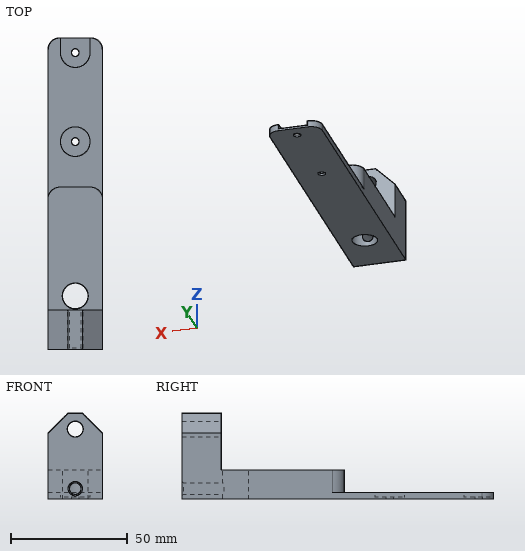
import cadquery as cq

LENGTH = 133.4
WIDTH = 23.3
HEIGHT = 36.8

PLATE_THICKNESS = 3.0
BLOCK_HEIGHT = 12.5
BLOCK_LENGTH = 69.5
HEAD_LENGTH = 17.0
CORNER_RADIUS = 5.1
HEAD_CHAMFER = 8.5

SEAT_DIAMETER = 12.7
SEAT_DEPTH = 2.0
SCREW_HOLE_DIAMETER = 3.2
END_SEAT_Y = LENGTH - SEAT_DIAMETER / 2
INNER_SEAT_Y = 89.0

BORE_DIAMETER = 11.0
BORE_Y = 23.0

UPPER_HOLE_DIAMETER = 6.7
UPPER_HOLE_Z = 30.0
LOWER_HOLE_DIAMETER = 5.0
LOWER_HOLE_MOUTH_DIAMETER = 6.1
LOWER_HOLE_Z = 4.5


def step(length, height):
    """Full-width box that starts at the front face."""
    return cq.Workplane("XY").box(WIDTH, length, height, centered=(True, False, False))


def cylinder_up(diameter, y, bottom, height):
    """Vertical cylinder on the centre plane."""
    return cq.Workplane("XY", origin=(0, y, bottom)).circle(diameter / 2).extrude(height)


def cylinder_back(diameter, z, length):
    """Cylinder from the front face toward +Y on the centre plane."""
    return cq.Workplane("XZ", origin=(0, 0, z)).circle(diameter / 2).extrude(-length)


def make_body():
    plate = step(LENGTH, PLATE_THICKNESS).edges("|Z and >Y").fillet(CORNER_RADIUS)
    block = step(BLOCK_LENGTH, BLOCK_HEIGHT).edges("|Z and >Y").fillet(CORNER_RADIUS)
    head = step(HEAD_LENGTH, HEIGHT).edges("|Y and >Z").chamfer(HEAD_CHAMFER)
    return plate.union(block).union(head)


def cut_screw_seats(body):
    seat_floor = PLATE_THICKNESS - SEAT_DEPTH
    for y in (END_SEAT_Y, INNER_SEAT_Y):
        body = body.cut(cylinder_up(SEAT_DIAMETER, y, seat_floor, SEAT_DEPTH))
        body = body.cut(cylinder_up(SCREW_HOLE_DIAMETER, y, 0, PLATE_THICKNESS))
    opening = cq.Workplane("XY", origin=(0, END_SEAT_Y, seat_floor)).box(
        SEAT_DIAMETER, LENGTH - END_SEAT_Y, SEAT_DEPTH, centered=(True, False, False)
    )
    return body.cut(opening)


def cut_head_holes(body):
    body = body.cut(cylinder_back(UPPER_HOLE_DIAMETER, UPPER_HOLE_Z, HEAD_LENGTH))
    mouth_depth = (LOWER_HOLE_MOUTH_DIAMETER - LOWER_HOLE_DIAMETER) / 2
    mouth = cq.Workplane(
        cq.Solid.makeCone(
            LOWER_HOLE_MOUTH_DIAMETER / 2,
            LOWER_HOLE_DIAMETER / 2,
            mouth_depth,
            pnt=cq.Vector(0, 0, LOWER_HOLE_Z),
            dir=cq.Vector(0, 1, 0),
        )
    )
    lower_hole = cylinder_back(LOWER_HOLE_DIAMETER, LOWER_HOLE_Z, BORE_Y)
    return body.cut(lower_hole).cut(mouth)


result = make_body()
result = cut_screw_seats(result)
result = result.cut(cylinder_up(BORE_DIAMETER, BORE_Y, 0, BLOCK_HEIGHT))
result = cut_head_holes(result)